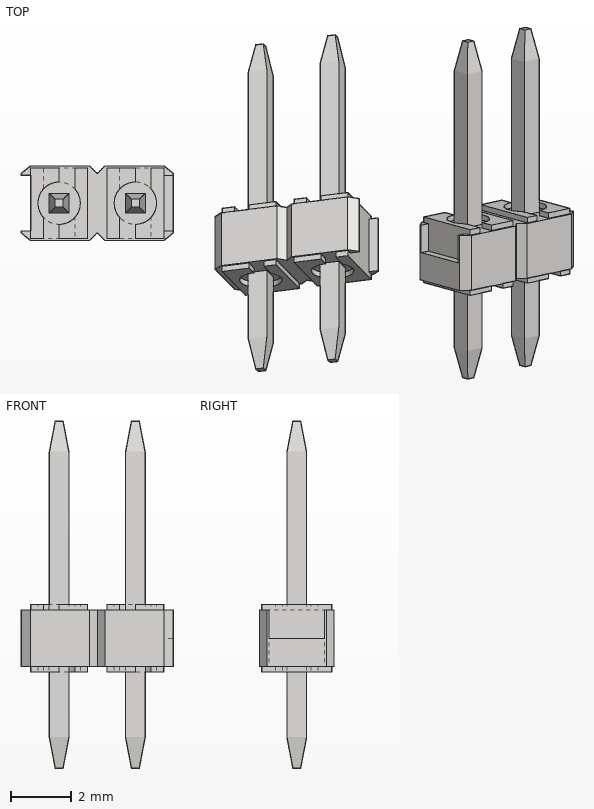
import cadquery as cq


position_count = 2
housing_length = 5.07
pitch = housing_length / position_count
housing_width = 2.49
housing_height = 1.88
housing_top = -0.51
housing_bottom = housing_top - housing_height
housing_mid = (housing_top + housing_bottom) / 2

notch_depth = 0.25
notch_half_length = 0.25
end_chamfer_length = 0.31

pad_length = 1.9
pad_width = 2.35
pad_height = 0.18
clearance_radius = 0.7
channel_width = 0.52

end_recess_width = 1.85
end_recess_depth = (pitch - pad_length) / 2
end_ledge_height = housing_height / 2

pin_length = 11.56
pin_size = 0.66
tip_size = 0.27
tip_length = 1.03

position_centers = [(i - (position_count - 1) / 2) * pitch for i in range(position_count)]


def make_housing():
    """Block with chamfered ends, V notches between positions and recessed end walls."""
    block = (
        cq.Workplane("XY", origin=(0, 0, housing_bottom))
        .rect(housing_length, housing_width)
        .extrude(housing_height)
    )

    notch_places = [(x + pitch / 2, notch_half_length) for x in position_centers[:-1]]
    notch_places += [(side * housing_length / 2, end_chamfer_length) for side in (-1, 1)]
    for x, half_length in notch_places:
        for side in (-1, 1):
            outer_y = side * housing_width / 2
            notch = (
                cq.Workplane("XY", origin=(0, 0, housing_bottom))
                .polyline([
                    (x - half_length, outer_y),
                    (x, outer_y - side * notch_depth),
                    (x + half_length, outer_y),
                ])
                .close()
                .extrude(housing_height)
            )
            block = block.cut(notch)

    for side, floor in ((-1, 0), (1, end_ledge_height)):
        recess = cq.Workplane("XY").box(
            end_recess_depth,
            end_recess_width,
            housing_height - floor,
            centered=(True, True, False),
        )
        recess_x = side * (housing_length - end_recess_depth) / 2
        block = block.cut(recess.translate((recess_x, 0, housing_bottom + floor)))
    return block


def make_pad():
    """Top pad split by a round clearance and two offset channels, at X = Y = 0."""
    base = cq.Workplane("XY", origin=(0, 0, housing_top))
    pad = base.rect(pad_length, pad_width).extrude(pad_height)
    clearance = base.circle(clearance_radius).extrude(pad_height)
    pad = pad.cut(clearance)
    for side in (-1, 1):
        channel = (
            base.center(side * channel_width / 2, side * pad_width / 4)
            .rect(channel_width, pad_width / 2)
            .extrude(pad_height)
        )
        pad = pad.cut(channel)
    return pad


def make_pin():
    """Square pin with both ends tapered to a small flat, at X = Y = 0."""
    shaft_length = pin_length - 2 * tip_length
    shaft = cq.Workplane("XY").box(pin_size, pin_size, shaft_length)
    upper_tip = (
        cq.Workplane("XY", origin=(0, 0, shaft_length / 2))
        .rect(pin_size, pin_size)
        .workplane(offset=tip_length)
        .rect(tip_size, tip_size)
        .loft(combine=True)
    )
    lower_tip = upper_tip.mirror("XY")
    return shaft.union(upper_tip).union(lower_tip)


top_pad = make_pad()
bottom_pad = top_pad.rotate((0, 0, housing_mid), (0, 1, housing_mid), 180)
pin = make_pin()

result = make_housing()
for center_x in position_centers:
    for feature in (top_pad, bottom_pad, pin):
        result = result.union(feature.translate((center_x, 0, 0)))